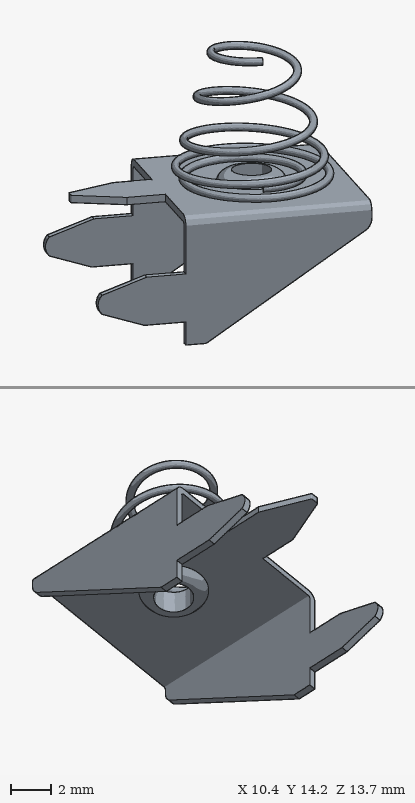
import cadquery as cq
import math


TOTAL_DEPTH = 14.22
TOTAL_HEIGHT = 13.68

SHEET = 0.39
WIDTH = 10.41
DEPTH = 9.63
LEG_HEIGHT = 6.71
BEND_INNER = 0.12
BEND_OUTER = BEND_INNER + SHEET
FRONT_Y = -DEPTH / 2
BACK_Y = DEPTH / 2

FOOT_LENGTH = 1.05
BACK_DROP = 1.26
BACK_CORNER_RADIUS = 0.75

TAB_LENGTH = 4.54
TAB_TOP = -2.98
TAB_BOTTOM = -5.5
TAB_MIDDLE = (TAB_TOP + TAB_BOTTOM) / 2
TAB_TOP_STRAIGHT = 2.03
TAB_BOTTOM_STRAIGHT = 2.15
TAB_TIP_HEIGHT = 1.0
TAB_TIP_BULGE = 0.2

LUG_WIDTH = 2.57
LUG_TIP_WIDTH = 0.44
LUG_TIP_CORNER_RADIUS = 0.1
LUG_STRAIGHT = 1.99
LUG_LENGTH = TOTAL_DEPTH - DEPTH

HOLE_RADIUS = 1.0
EYELET_RIM_REACH = 0.78
EYELET_HALF_HEIGHT = 0.705

WIRE_RADIUS = 0.2
SPRING_TOP = TOTAL_HEIGHT - LEG_HEIGHT
TURNS = 5
WIRE_SINK = 0.01
BASE_HEIGHT = WIRE_RADIUS - WIRE_SINK
TOP_HEIGHT = SPRING_TOP - WIRE_RADIUS
FLAT_TURNS = 0.7
RISE_RATE = 0.455
SPIRAL_START_RADIUS = 2.2
CONE_BASE_RADIUS = 3.94
CONE_TOP_RADIUS = 1.99
POINTS_PER_TURN = 16


def make_channel():
    """Plate with both legs bent down: a U section running along Y, past the front by a tab length."""
    length = DEPTH + TAB_LENGTH

    def arch(width, top, bend_radius):
        block = cq.Workplane("XY").box(width, length, LEG_HEIGHT, centered=(True, False, False))
        block = block.edges("|Y and >Z").fillet(bend_radius)
        return block.translate((0, FRONT_Y - TAB_LENGTH, top - LEG_HEIGHT))

    return arch(WIDTH, 0, BEND_OUTER).cut(arch(WIDTH - 2 * SHEET, -SHEET, BEND_INNER))


def make_side_outline():
    """Outline of a leg with its tab in the YZ plane, extruded across the full width."""
    tip_base_y = FRONT_Y - TAB_LENGTH + TAB_TIP_BULGE
    body = (
        cq.Workplane("YZ", origin=(-WIDTH / 2, 0, 0))
        .moveTo(FRONT_Y, 0)
        .lineTo(BACK_Y, 0)
        .lineTo(BACK_Y, -BACK_DROP)
        .lineTo(FRONT_Y + FOOT_LENGTH, -LEG_HEIGHT)
        .lineTo(FRONT_Y, -LEG_HEIGHT)
        .close()
        .extrude(WIDTH)
    )
    back_corner = cq.selectors.NearestToPointSelector((0, BACK_Y, -BACK_DROP))
    body = body.edges(back_corner).fillet(BACK_CORNER_RADIUS)
    tab = (
        cq.Workplane("YZ", origin=(-WIDTH / 2, 0, 0))
        .moveTo(FRONT_Y, TAB_TOP)
        .lineTo(FRONT_Y - TAB_TOP_STRAIGHT, TAB_TOP)
        .lineTo(tip_base_y, TAB_MIDDLE + TAB_TIP_HEIGHT / 2)
        .threePointArc((FRONT_Y - TAB_LENGTH, TAB_MIDDLE), (tip_base_y, TAB_MIDDLE - TAB_TIP_HEIGHT / 2))
        .lineTo(FRONT_Y - TAB_BOTTOM_STRAIGHT, TAB_BOTTOM)
        .lineTo(FRONT_Y, TAB_BOTTOM)
        .close()
        .extrude(WIDTH)
    )
    return body.union(tab)


def make_lug():
    """Pointed lug continuing the plate towards -Y."""
    right_side = [
        (LUG_WIDTH / 2, FRONT_Y),
        (LUG_WIDTH / 2, FRONT_Y - LUG_STRAIGHT),
        (LUG_TIP_WIDTH / 2, FRONT_Y - LUG_LENGTH),
    ]
    left_side = [(-x, y) for x, y in reversed(right_side)]
    lug = cq.Workplane("XY").polyline(right_side + left_side).close().extrude(-SHEET)
    return lug.faces("<Y").edges("|Z").fillet(LUG_TIP_CORNER_RADIUS)


def make_eyelet():
    """Rivet rim: an ellipse, centred at mid sheet on the hole wall, revolved about the spring axis."""
    return (
        cq.Workplane("XZ")
        .center(HOLE_RADIUS, -SHEET / 2)
        .ellipse(EYELET_RIM_REACH, EYELET_HALF_HEIGHT)
        .revolve(360, (-HOLE_RADIUS, 0, 0), (-HOLE_RADIUS, 1, 0))
    )


def make_hole():
    """Cutter for the hole through the sheet and the whole height of the eyelet."""
    reach = EYELET_HALF_HEIGHT + SHEET
    return cq.Workplane("XY").circle(HOLE_RADIUS).extrude(reach, both=True)


def spring_height(turn):
    """Wire centre height: flat, then a parabola with growing pitch, then one that levels off at the top."""
    rise = TOP_HEIGHT - BASE_HEIGHT
    rising_turns = TURNS - FLAT_TURNS
    join = FLAT_TURNS + rise / (RISE_RATE * rising_turns)
    if turn <= FLAT_TURNS:
        return BASE_HEIGHT
    if turn <= join:
        return BASE_HEIGHT + RISE_RATE * (turn - FLAT_TURNS) ** 2
    level_rate = RISE_RATE * (join - FLAT_TURNS) / (TURNS - join)
    return TOP_HEIGHT - level_rate * (TURNS - turn) ** 2


def spring_radius(turn):
    """Coil radius: a flat spiral outwards during the first turn, then a cone narrowing with height."""
    if turn <= 1:
        return SPIRAL_START_RADIUS + (CONE_BASE_RADIUS - SPIRAL_START_RADIUS) * turn
    climbed = (spring_height(turn) - BASE_HEIGHT) / (TOP_HEIGHT - BASE_HEIGHT)
    return CONE_BASE_RADIUS + (CONE_TOP_RADIUS - CONE_BASE_RADIUS) * climbed


def make_spring():
    """Round wire swept along the coil, with both ends on the +X side."""
    points = []
    for step in range(TURNS * POINTS_PER_TURN + 1):
        turn = step / POINTS_PER_TURN
        angle = 2 * math.pi * turn
        radius = spring_radius(turn)
        points.append(cq.Vector(radius * math.cos(angle), radius * math.sin(angle), spring_height(turn)))
    path = cq.Edge.makeSpline(points)
    start = cq.Plane(origin=path.positionAt(0), xDir=(0, 0, 1), normal=path.tangentAt(0))
    return cq.Workplane(start).circle(WIRE_RADIUS).sweep(cq.Workplane(path), isFrenet=True)


bracket = make_channel().intersect(make_side_outline())
bracket = bracket.union(make_lug()).union(make_eyelet()).cut(make_hole())
result = bracket.union(make_spring())